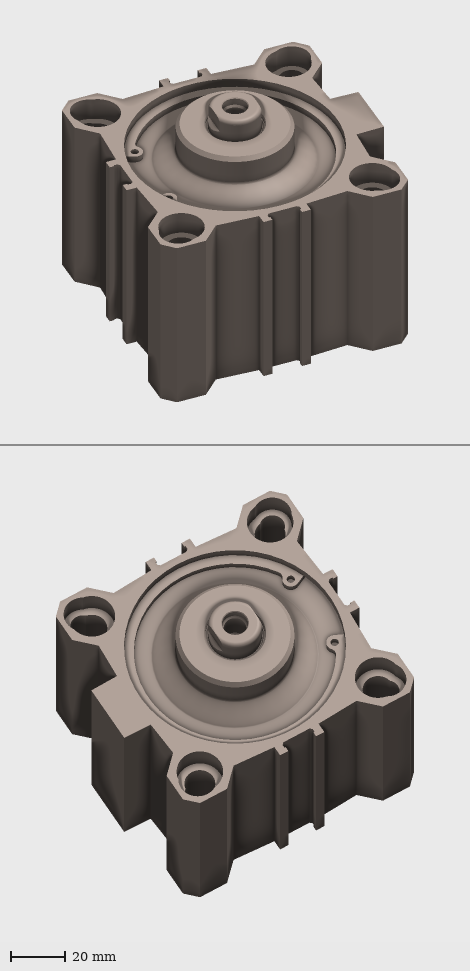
import cadquery as cq
import math

TOLERANCE = 0.01

HOUSING_HEIGHT = 71.0
COLLAR_TOP = 81.0
ROD_TOP = 89.0

HALF_WIDTH = 50.0
POST_CHAMFER = 4.6
POST_FACE_END = 33.7
WAIST_CORNER = 26.6
WALL_FACE = 43.9
WALL_CORNER = HALF_WIDTH - (POST_FACE_END - WAIST_CORNER)

RAIL_OUTER = 9.6
RAIL_NECK = 6.5
RAIL_LIP = 6.0
RAIL_BEVEL = 0.8
RAIL_FACE = 48.0
LIP_START = 46.1

BOSS_FACE = 55.0
BOSS_TIP_HALF = 11.8
BOSS_ROOT_HALF = 12.1

INNER_BOLT_OFFSET = 38.5
OUTER_BOLT_OFFSET = 41.0
INNER_BOLT_DIAMETER = 11.4
OUTER_BOLT_DIAMETER = 9.3
INNER_HEAD_DIAMETER = 17.2
OUTER_HEAD_DIAMETER = 14.3
HEAD_DEPTH = 9.0

MOUTH_DIAMETER = 82.1
GROOVE_DIAMETER = 85.6
COVER_DIAMETER = 81.7
RING_TOP = 67.3
RING_THICKNESS = 2.6
COVER_THICKNESS = 12.6
COVER_FACE = RING_TOP - RING_THICKNESS
COVER_BOTTOM = COVER_FACE - COVER_THICKNESS

RING_INNER_DIAMETER = 74.9
LUG_DIAMETER = 6.2
LUG_HOLE_DIAMETER = 3.0
LUG_RADIUS = 37.1
LUG_ANGLE = 25.0
LUG_FILLET = 2.5

CONE_BASE_DIAMETER = 61.5
CONE_TOP = 69.6
CONE_FILLET = 0.9
COLLAR_DIAMETER = 44.0
COLLAR_CHAMFER = 1.5
ROD_BORE_MOUTH = 23.0
ROD_BORE_RECESS = 21.9
ROD_SEAL_OUTER = 21.2
ROD_SEAL_INNER = 20.6
MOUTH_BEVEL = 0.5
RECESS_DEPTH = 1.0
SEAL_DEPTH = 1.6

ROD_DIAMETER = 20.0
ROD_EDGE_RADIUS = 1.8
FLATS_WIDTH = 17.0
FLATS_BOTTOM = 83.4
TAP_MOUTH_DIAMETER = 10.3
TAP_MOUTH_BEVEL = 0.3
TAP_RECESS_DIAMETER = TAP_MOUTH_DIAMETER - 2 * TAP_MOUTH_BEVEL
TAP_RECESS_DEPTH = 3.0
TAP_SHOULDER_LENGTH = 0.8
TAP_DIAMETER = 8.4
TAP_DEPTH = 14.7
DRILL_POINT_ANGLE = 118.0


def cylinder(diameter, bottom, top, x=0.0, y=0.0):
    return cq.Workplane("XY", origin=(x, y, bottom)).circle(diameter / 2).extrude(top - bottom)


def turned(profile):
    """Revolve (radius, z) points about the Z axis."""
    return cq.Workplane("XZ").polyline(profile).close().revolve(360, (0, 0), (0, 1))


def prism(points, height=HOUSING_HEIGHT):
    return cq.Workplane("XY").polyline(points).close().extrude(height)


def housing_block():
    post_edge = HALF_WIDTH - POST_CHAMFER
    side = [
        (-post_edge, -HALF_WIDTH),
        (-POST_FACE_END, -HALF_WIDTH),
        (-WAIST_CORNER, -WALL_CORNER),
        (-RAIL_OUTER, -WALL_FACE),
        (RAIL_OUTER, -WALL_FACE),
        (WAIST_CORNER, -WALL_CORNER),
        (POST_FACE_END, -HALF_WIDTH),
        (post_edge, -HALF_WIDTH),
    ]
    outline = []
    for _ in range(4):
        outline += side
        side = [(-y, x) for x, y in side]
    return prism(outline)


def sensor_rail():
    """One rail of the -Y side; it is rooted inside the wall."""
    root = WALL_CORNER
    return prism([
        (RAIL_OUTER, -root),
        (RAIL_OUTER, -RAIL_FACE),
        (RAIL_LIP, -RAIL_FACE),
        (RAIL_LIP, -LIP_START),
        (RAIL_NECK, -LIP_START),
        (RAIL_NECK, -WALL_FACE - RAIL_BEVEL),
        (RAIL_NECK - RAIL_BEVEL, -WALL_FACE),
        (RAIL_NECK - RAIL_BEVEL, -root),
    ])


def port_boss():
    return prism([
        (-BOSS_ROOT_HALF, WALL_CORNER),
        (BOSS_ROOT_HALF, WALL_CORNER),
        (BOSS_TIP_HALF, BOSS_FACE),
        (-BOSS_TIP_HALF, BOSS_FACE),
    ])


def bolt_hole(x_sign, y_sign):
    head_floor = HOUSING_HEIGHT - HEAD_DEPTH
    inner = (x_sign * INNER_BOLT_OFFSET, y_sign * INNER_BOLT_OFFSET)
    outer = (x_sign * OUTER_BOLT_OFFSET, y_sign * OUTER_BOLT_OFFSET)
    return (
        cylinder(INNER_BOLT_DIAMETER, 0, HOUSING_HEIGHT, *inner)
        .union(cylinder(OUTER_BOLT_DIAMETER, 0, HOUSING_HEIGHT, *outer))
        .union(cylinder(INNER_HEAD_DIAMETER, head_floor, HOUSING_HEIGHT, *inner))
        .union(cylinder(OUTER_HEAD_DIAMETER, head_floor, HOUSING_HEIGHT, *outer))
    )


def make_housing():
    body = housing_block().union(port_boss())
    rail = sensor_rail()
    rail_pair = rail.union(rail.mirror("YZ"))
    for angle in (-90, 0, 90):
        body = body.union(rail_pair.rotate((0, 0, 0), (0, 0, 1), angle))
    for x_sign in (-1, 1):
        for y_sign in (-1, 1):
            body = body.cut(bolt_hole(x_sign, y_sign))
    body = body.cut(cylinder(COVER_DIAMETER, COVER_BOTTOM, COVER_FACE))
    body = body.cut(cylinder(GROOVE_DIAMETER, COVER_FACE, RING_TOP))
    return body.cut(cylinder(MOUTH_DIAMETER, RING_TOP, HOUSING_HEIGHT))


def make_retaining_ring():
    angle = math.radians(LUG_ANGLE)
    lug_x = LUG_RADIUS * math.sin(angle)
    lug_y = -LUG_RADIUS * math.cos(angle)

    apex_y = -LUG_DIAMETER / 2 / math.sin(angle)
    gap_y = -GROOVE_DIAMETER / 2
    gap_half = (apex_y - gap_y) * math.tan(angle)
    gap = prism([(0, apex_y), (-gap_half, gap_y), (gap_half, gap_y)])

    ring = cylinder(GROOVE_DIAMETER, COVER_FACE, RING_TOP)
    ring = ring.cut(cylinder(RING_INNER_DIAMETER, COVER_FACE, RING_TOP)).cut(gap)
    for x in (-lug_x, lug_x):
        ring = ring.union(cylinder(LUG_DIAMETER, COVER_FACE, RING_TOP, x, lug_y))

    reach = RING_INNER_DIAMETER / 2
    corner_angle = angle + 2 * math.asin(LUG_DIAMETER / 4 / reach)
    for sign in (-1, 1):
        corner = (
            sign * reach * math.sin(corner_angle),
            -reach * math.cos(corner_angle),
            (COVER_FACE + RING_TOP) / 2,
        )
        ring = ring.edges(cq.selectors.NearestToPointSelector(corner)).fillet(LUG_FILLET)
    for x in (-lug_x, lug_x):
        ring = ring.cut(cylinder(LUG_HOLE_DIAMETER, COVER_FACE, RING_TOP, x, lug_y))
    return ring


def make_rod_cover():
    cover = turned([
        (ROD_DIAMETER / 2, COVER_BOTTOM),
        (COVER_DIAMETER / 2, COVER_BOTTOM),
        (COVER_DIAMETER / 2, COVER_FACE),
        (CONE_BASE_DIAMETER / 2, COVER_FACE),
        (COLLAR_DIAMETER / 2, CONE_TOP),
        (COLLAR_DIAMETER / 2, COLLAR_TOP - COLLAR_CHAMFER),
        (COLLAR_DIAMETER / 2 - COLLAR_CHAMFER, COLLAR_TOP),
        (ROD_BORE_MOUTH / 2, COLLAR_TOP),
        (ROD_BORE_RECESS / 2, COLLAR_TOP - MOUTH_BEVEL),
        (ROD_BORE_RECESS / 2, COLLAR_TOP - RECESS_DEPTH),
        (ROD_SEAL_OUTER / 2, COLLAR_TOP - RECESS_DEPTH),
        (ROD_SEAL_INNER / 2, COLLAR_TOP - SEAL_DEPTH),
        (ROD_DIAMETER / 2, COLLAR_TOP - SEAL_DEPTH),
    ])
    cone_ends = [
        edge for edge in cover.edges("%CIRCLE").vals()
        if abs(edge.radius() - CONE_BASE_DIAMETER / 2) < TOLERANCE
        or abs(edge.Center().z - CONE_TOP) < TOLERANCE
    ]
    return cover.newObject(cone_ends).fillet(CONE_FILLET)


def wrench_flat():
    """Cutter for the -Y flat; its floor slopes down outwards at 45 degrees."""
    flat = FLATS_WIDTH / 2
    run = ROD_DIAMETER - flat
    profile = [
        (-flat, FLATS_BOTTOM),
        (-flat, ROD_TOP),
        (-flat - run, ROD_TOP),
        (-flat - run, FLATS_BOTTOM - run),
    ]
    cutter = cq.Workplane("YZ").polyline(profile).close()
    return cutter.extrude(ROD_DIAMETER / 2, both=True)


def make_rod():
    rod = cylinder(ROD_DIAMETER, COVER_BOTTOM, ROD_TOP).faces(">Z").edges().fillet(ROD_EDGE_RADIUS)
    flat = wrench_flat()
    rod = rod.cut(flat).cut(flat.mirror("XZ"))
    tap_floor = ROD_TOP - TAP_DEPTH
    point_length = TAP_DIAMETER / 2 / math.tan(math.radians(DRILL_POINT_ANGLE / 2))
    return rod.cut(turned([
        (0, ROD_TOP),
        (TAP_MOUTH_DIAMETER / 2, ROD_TOP),
        (TAP_RECESS_DIAMETER / 2, ROD_TOP - TAP_MOUTH_BEVEL),
        (TAP_RECESS_DIAMETER / 2, ROD_TOP - TAP_RECESS_DEPTH),
        (TAP_DIAMETER / 2, ROD_TOP - TAP_RECESS_DEPTH - TAP_SHOULDER_LENGTH),
        (TAP_DIAMETER / 2, tap_floor),
        (0, tap_floor - point_length),
    ]))


housing = make_housing()
retaining_ring = make_retaining_ring()
rod_cover = make_rod_cover()
rod = make_rod()

result = cq.Compound.makeCompound([
    housing.val(),
    retaining_ring.val(),
    rod_cover.val(),
    rod.val(),
])